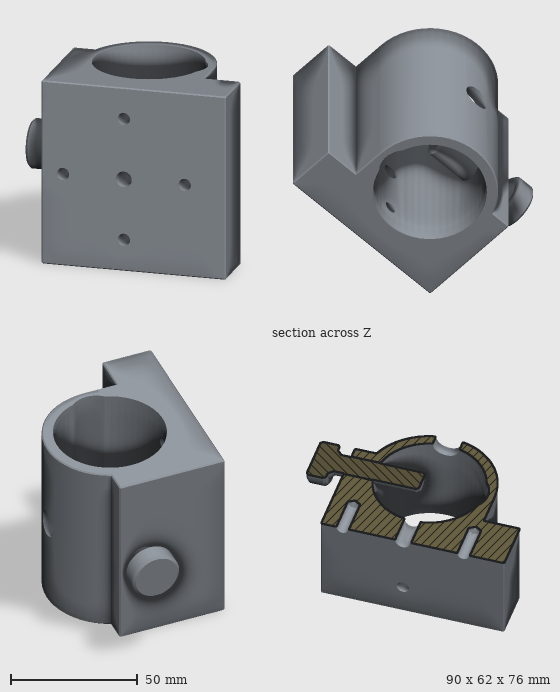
import cadquery as cq
import math


overall_width = 90.0

block_width = 76.0
block_height = block_width
bore_to_left = 34.0
bore_to_front = 35.0
ring_radius = 27.0
left_shoulder_depth = 45.0
right_foot_depth = 21.0
edge_chamfer = 0.5

bore_diameter = 45.0
relief_diameter = 20.0
relief_offset = 14.0

center_hole_diameter = 6.5
access_hole_diameter = 11.0
tapped_hole_diameter = 5.0
tapped_hole_spacing = 25.0
tapped_hole_depth = 15.0
drill_tip_angle = 118.0

shank_diameter = 10.0
shank_tip_chamfer = 1.0
knob_diameter = 20.0
knob_length = 8.1
knob_chamfer = 1.0
neck_length = 1.9
knob_overhang = overall_width - block_width
screw_length = 45.0

left_x = -bore_to_left
right_x = left_x + block_width
front_y = -bore_to_front
shoulder_y = front_y + left_shoulder_depth
foot_y = front_y + right_foot_depth
bottom_z = -block_height / 2


def make_block():
    """Block with a rounded back, all outer edges chamfered."""
    shoulder_end_x = -math.sqrt(ring_radius**2 - shoulder_y**2)
    block = (
        cq.Workplane("XY", origin=(0, 0, bottom_z))
        .moveTo(left_x, front_y)
        .lineTo(right_x, front_y)
        .lineTo(right_x, foot_y)
        .lineTo(ring_radius, foot_y)
        .lineTo(ring_radius, 0)
        .threePointArc((0, ring_radius), (shoulder_end_x, shoulder_y))
        .lineTo(left_x, shoulder_y)
        .close()
        .extrude(block_height)
    )
    block = block.edges("|Z and (<X or >X)").chamfer(edge_chamfer)
    return block.faces("<Z or >Z").edges().chamfer(edge_chamfer)


def make_bore():
    """Vertical through bore, widened on the +X side by the relief groove."""
    base = cq.Workplane("XY", origin=(0, 0, bottom_z))
    bore = base.circle(bore_diameter / 2).extrude(block_height)
    relief = base.center(relief_offset, 0).circle(relief_diameter / 2).extrude(block_height)
    return bore.union(relief)


def make_center_hole():
    """Hole from the front face into the bore, with a wider hole through the back wall."""
    front_hole = (
        cq.Workplane("XZ", origin=(0, front_y, 0))
        .circle(center_hole_diameter / 2)
        .extrude(-bore_to_front)
    )
    access_hole = cq.Workplane("XZ").circle(access_hole_diameter / 2).extrude(-ring_radius)
    return front_hole.union(access_hole)


def make_tapped_hole(x, z):
    """Hole with a conical drill tip, entering from the front face at (x, z)."""
    radius = tapped_hole_diameter / 2
    tip_length = radius / math.tan(math.radians(drill_tip_angle / 2))
    return (
        cq.Workplane("XY", origin=(x, front_y, z))
        .polyline([
            (0, 0),
            (radius, 0),
            (radius, tapped_hole_depth),
            (0, tapped_hole_depth + tip_length),
        ])
        .close()
        .revolve(360, (0, 0, 0), (0, 1, 0))
    )


def make_screw_hole():
    """Hole for the screw shank, from the -X face into the bore."""
    return (
        cq.Workplane("YZ", origin=(left_x, 0, 0))
        .circle(shank_diameter / 2)
        .extrude(bore_to_left)
    )


def make_holder():
    holder = make_block().cut(make_bore()).cut(make_center_hole()).cut(make_screw_hole())
    for degrees in (0, 90, 180, 270):
        angle = math.radians(degrees)
        x = tapped_hole_spacing * math.cos(angle)
        z = tapped_hole_spacing * math.sin(angle)
        holder = holder.cut(make_tapped_hole(x, z))
    return holder


def make_screw():
    """Knob, conical neck and shank turned about the X axis."""
    knob_radius = knob_diameter / 2
    shank_radius = shank_diameter / 2
    neck_radius = shank_radius + neck_length
    neck_end = knob_length + neck_length
    return (
        cq.Workplane("XY", origin=(left_x - knob_overhang, 0, 0))
        .polyline([
            (0, 0),
            (0, knob_radius - knob_chamfer),
            (knob_chamfer, knob_radius),
            (knob_length - knob_chamfer, knob_radius),
            (knob_length, knob_radius - knob_chamfer),
            (knob_length, neck_radius),
            (neck_end, shank_radius),
            (screw_length - shank_tip_chamfer, shank_radius),
            (screw_length, shank_radius - shank_tip_chamfer),
            (screw_length, 0),
        ])
        .close()
        .revolve(360, (0, 0, 0), (1, 0, 0))
    )


holder = make_holder()
screw = make_screw()
result = cq.Compound.makeCompound([holder.solids().val(), screw.val()])